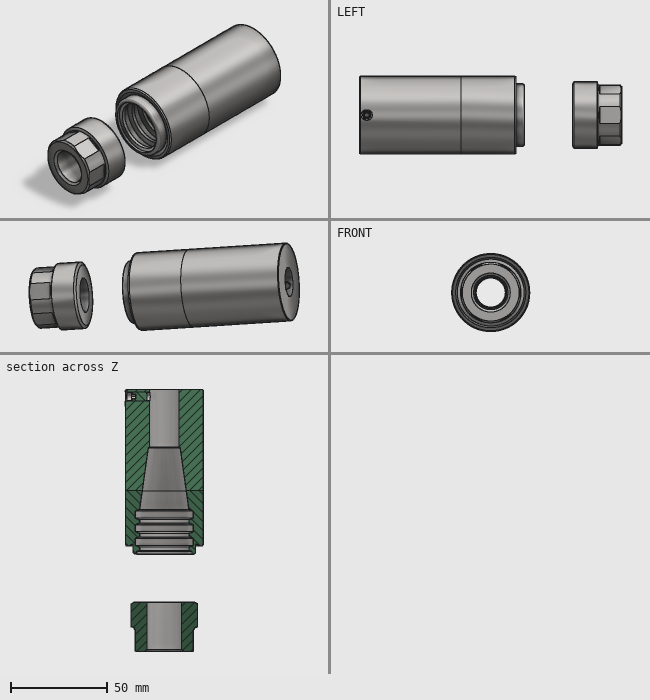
import cadquery as cq
import math

TAN_30 = math.tan(math.radians(30))

sleeve_radius = 40.6 / 2
sleeve_rear_y = 136.2
sleeve_joint_y = 83.5
sleeve_front_y = 54.9
rear_chamfer = 0.4
front_chamfer_length = 0.8
through_bore_radius = 15.1 / 2

spigot_radius = 32.7 / 2
spigot_front_y = 50.5
spigot_rounding = 1.4
dish_radius = 36.5 / 2

thread_mouth_radius = 28.6 / 2
thread_mouth_length = 1.5
thread_root_radius = 30.1 / 2
thread_crest_radius = 25.5 / 2
thread_pitch = 7.1
thread_count = 3
thread_crest_width = 1.8
thread_flank_angle = 20
thread_flank = (thread_root_radius - thread_crest_radius) * math.tan(math.radians(thread_flank_angle))
first_crest_y = spigot_front_y + thread_mouth_length + (
    (thread_mouth_radius - thread_crest_radius) * math.tan(math.radians(thread_flank_angle))
)

taper_half_angle = 8
taper_end_radius = 16.5 / 2
taper_slope = math.tan(math.radians(taper_half_angle))
taper_start_y = first_crest_y + thread_count * thread_pitch
taper_end_y = taper_start_y + (thread_crest_radius - taper_end_radius) / taper_slope
joint_bore_radius = thread_crest_radius - (sleeve_joint_y - taper_start_y) * taper_slope

collar_radius = 34.7 / 2
collar_front_y = 12.8
nut_rear_y = 25.7
collar_front_bevel_angle = 15
collar_rear_bevel_width = 1.6
neck_radius = 31.5 / 2
neck_chamfer = 1.0
nut_bore_radius = 17.8 / 2
nut_bore_chamfer = 1.2
flat_count = 6
flat_distance = 15.1
flat_end_y = 11.5
flat_cutter_margin = 0.1

screw_radius = 4.2 / 2
screw_y = 132.5
screw_recess = 3.4
screw_length = 8.0
screw_chamfer = 0.4
socket_across_flats = 2.2
socket_sides = 6
socket_depth = 2.0
screw_hole_chamfer = 0.8


def revolve_about_y(points):
    """Solid of revolution from (radius, y) points."""
    return cq.Workplane("XY").polyline(points).close().revolve(360, (0, 0, 0), (0, 1, 0))


def cylinder_along_x(radius, x_start, x_end):
    return cq.Workplane("YZ", origin=(x_start, screw_y, 0)).circle(radius).extrude(x_end - x_start)


def make_rear_sleeve():
    drill_point_depth = (taper_end_radius - through_bore_radius) * TAN_30
    sleeve = revolve_about_y([
        (joint_bore_radius, sleeve_joint_y),
        (sleeve_radius, sleeve_joint_y),
        (sleeve_radius, sleeve_rear_y - rear_chamfer),
        (sleeve_radius - rear_chamfer, sleeve_rear_y),
        (through_bore_radius, sleeve_rear_y),
        (through_bore_radius, taper_end_y + drill_point_depth),
        (taper_end_radius, taper_end_y),
    ])
    hole = cylinder_along_x(screw_radius, -sleeve_radius, 0)
    countersink = (
        cq.Workplane("YZ", origin=(-sleeve_radius, screw_y, 0))
        .circle(screw_radius + screw_hole_chamfer)
        .workplane(offset=screw_hole_chamfer)
        .circle(screw_radius)
        .loft()
    )
    return sleeve.cut(hole).cut(countersink)


def thread_profile():
    """Points of the ringed bore, from the spigot mouth inward to the joint."""
    points = [
        (thread_mouth_radius, spigot_front_y),
        (thread_mouth_radius, spigot_front_y + thread_mouth_length),
    ]
    for ring in range(thread_count):
        crest_start = first_crest_y + ring * thread_pitch
        crest_end = crest_start + thread_crest_width
        next_crest = crest_start + thread_pitch
        points += [
            (thread_crest_radius, crest_start),
            (thread_crest_radius, crest_end),
            (thread_root_radius, crest_end + thread_flank),
            (thread_root_radius, next_crest - thread_flank),
        ]
    points += [
        (thread_crest_radius, taper_start_y),
        (joint_bore_radius, sleeve_joint_y),
    ]
    return points


def make_front_sleeve():
    dish_depth = (dish_radius - spigot_radius) * TAN_30
    profile = (
        cq.Workplane("XY")
        .polyline(thread_profile())
        .lineTo(sleeve_radius, sleeve_joint_y)
        .lineTo(sleeve_radius, sleeve_front_y + front_chamfer_length)
        .lineTo(sleeve_radius - front_chamfer_length * TAN_30, sleeve_front_y)
        .lineTo(dish_radius, sleeve_front_y)
        .lineTo(spigot_radius, sleeve_front_y + dish_depth)
        .lineTo(spigot_radius, spigot_front_y + spigot_rounding)
        .radiusArc((spigot_radius - spigot_rounding, spigot_front_y), spigot_rounding)
        .close()
    )
    return profile.revolve(360, (0, 0, 0), (0, 1, 0))


def make_flat_cutter():
    """Block that cuts one flat facing +X, with a sloped run-out at its inner end."""
    cutter_top = neck_radius + flat_cutter_margin
    return (
        cq.Workplane("XY")
        .polyline([
            (flat_distance, 0),
            (cutter_top, 0),
            (cutter_top, flat_end_y + (cutter_top - flat_distance) * TAN_30),
            (flat_distance, flat_end_y),
        ])
        .close()
        .extrude(neck_radius, both=True)
    )


def make_nut():
    front_bevel_length = (collar_radius - neck_radius) * math.tan(math.radians(collar_front_bevel_angle))
    rear_bevel_length = collar_rear_bevel_width * TAN_30
    nut = revolve_about_y([
        (nut_bore_radius + nut_bore_chamfer, 0),
        (neck_radius - neck_chamfer, 0),
        (neck_radius, neck_chamfer),
        (neck_radius, collar_front_y - front_bevel_length),
        (collar_radius, collar_front_y),
        (collar_radius, nut_rear_y - rear_bevel_length),
        (collar_radius - collar_rear_bevel_width, nut_rear_y),
        (nut_bore_radius, nut_rear_y),
        (nut_bore_radius, nut_bore_chamfer),
    ])
    for index in range(flat_count):
        angle = index * 360 / flat_count
        nut = nut.cut(make_flat_cutter().rotate((0, 0, 0), (0, 1, 0), angle))
    return nut


def make_set_screw():
    outer_x = -sleeve_radius + screw_recess
    screw = cylinder_along_x(screw_radius, outer_x, outer_x + screw_length).edges().chamfer(screw_chamfer)
    socket = (
        cq.Workplane("YZ", origin=(outer_x, screw_y, 0))
        .polygon(socket_sides, socket_across_flats, circumscribed=True)
        .extrude(socket_depth)
    )
    return screw.cut(socket)


rear_sleeve = make_rear_sleeve()
front_sleeve = make_front_sleeve()
nut = make_nut()
set_screw = make_set_screw()

result = cq.Compound.makeCompound([
    rear_sleeve.val(),
    front_sleeve.val(),
    nut.val(),
    set_screw.val(),
])